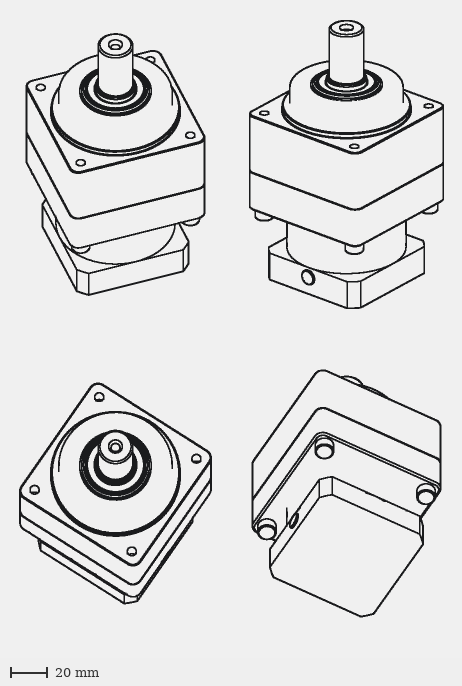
import cadquery as cq
import math

FLANGE_TOP = 16.2
HOUSING_BOTTOM = 42.4
HOUSING_SEAM = 65.5
HOUSING_TOP = 100.0
STEP_TOP = 103.0
PILOT_TOP = 115.5
SEAL_TOP = 117.0
COLLAR_TOP = 120.0
SHAFT_TOP = 150.0

FLANGE_WIDTH = 65.0
FLANGE_CORNER_DIAMETER = 85.0
ADAPTER_DIAMETER = 65.0
ADAPTER_ROOT_FILLET = 1.9

PLUG_DIAMETER = 8.5
PLUG_PROTRUSION = 1.0
PLUG_CHAMFER = 0.4
PLUG_Z = 10.3
PLUG_EMBED = 2.0

HOUSING_WIDTH = 78.0
HOUSING_CORNER_RADIUS = 5.0
HOUSING_TOP_CHAMFER = 0.5
HOUSING_BOTTOM_CHAMFER = 1.1
SEAM_CHAMFER = 0.25

BOLT_CIRCLE_DIAMETER = 90.0
SCREW_HEAD_DIAMETER = 10.0
SCREW_HEAD_HEIGHT = 6.0
SCREW_HEAD_CHAMFER = 0.6
MOUNT_HOLE_DIAMETER = 4.92
MOUNT_HOLE_DEPTH = 12.0

STEP_DIAMETER = 70.0
STEP_CHAMFER = 0.5
ROOT_CHAMFER = 0.4
PILOT_DIAMETER = 62.0
PILOT_FILLET = 2.0
RECESS_DIAMETER = 39.0
RECESS_DEPTH = 0.5
SEAL_DIAMETER = 37.0
SEAL_CHAMFER = 1.0
GROOVE_DIAMETER = 32.0
GROOVE_HALF_WIDTH = 0.6
SEAL_BORE_DIAMETER = 23.2
SEAL_BORE_DEPTH = 0.5
COLLAR_DIAMETER = 22.0
COLLAR_CHAMFER_HEIGHT = 0.8
COLLAR_CHAMFER_WIDTH = 0.5
SHAFT_DIAMETER = 19.0
SHAFT_CHAMFER = 1.0

CENTRE_HOLE_DIAMETER = 4.92
CENTRE_HOLE_DEPTH = 16.0
COUNTERSINK_DIAMETER = 7.5
COUNTERSINK_ANGLE = 60.0

DRILL_POINT_ANGLE = 118.0


def cylinder(diameter, bottom, top):
    """Solid cylinder on the part axis between two heights."""
    return cq.Workplane("XY").workplane(offset=bottom).circle(diameter / 2).extrude(top - bottom)


def revolved(profile):
    """Solid of revolution about Z from (radius, height) corner points."""
    return cq.Workplane("XZ").polyline(profile).close().revolve(360, (0, 0, 0), (0, 1, 0))


def root_cone(diameter, bottom):
    """Small conical foot around a cylinder of the given diameter."""
    radius = diameter / 2
    top = bottom + ROOT_CHAMFER
    return revolved([(0, bottom), (radius + ROOT_CHAMFER, bottom), (radius, top), (0, top)])


def drilled_hole(diameter, depth, top):
    """Blind hole cutter with a conical drill point, opening at height top."""
    radius = diameter / 2
    point_height = radius / math.tan(math.radians(DRILL_POINT_ANGLE / 2))
    floor = top - depth
    return revolved([(0, top), (radius, top), (radius, floor), (0, floor - point_height)])


def at_bolt_positions(body):
    """Copies of a body at the four diagonal points of the bolt circle."""
    offset = BOLT_CIRCLE_DIAMETER / 2 * math.sqrt(0.5)
    copies = cq.Workplane("XY")
    for x in (-offset, offset):
        for y in (-offset, offset):
            copies = copies.add(body.translate((x, y, 0)))
    return copies.combine()


def square_block(bottom, top):
    """Housing block with rounded vertical corners."""
    block = cq.Workplane("XY").workplane(offset=bottom).rect(HOUSING_WIDTH, HOUSING_WIDTH)
    return block.extrude(top - bottom).edges("|Z").fillet(HOUSING_CORNER_RADIUS)


def make_motor_adapter():
    """Square motor flange with round corners and a barrel that flares into the housing."""
    flange = cq.Workplane("XY").rect(FLANGE_WIDTH, FLANGE_WIDTH).extrude(FLANGE_TOP)
    flange = flange.intersect(cylinder(FLANGE_CORNER_DIAMETER, 0, FLANGE_TOP))
    radius = ADAPTER_DIAMETER / 2
    bend = ADAPTER_ROOT_FILLET * math.sqrt(0.5)
    root_centre = (radius + ADAPTER_ROOT_FILLET, HOUSING_BOTTOM - ADAPTER_ROOT_FILLET)
    barrel = (
        cq.Workplane("XZ")
        .moveTo(0, FLANGE_TOP)
        .lineTo(radius, FLANGE_TOP)
        .lineTo(radius, root_centre[1])
        .threePointArc((root_centre[0] - bend, root_centre[1] + bend), (root_centre[0], HOUSING_BOTTOM))
        .lineTo(0, HOUSING_BOTTOM)
        .close()
        .revolve(360, (0, 0, 0), (0, 1, 0))
    )
    return flange.union(barrel)


def make_plug():
    """Round plug standing out of the +Y face of the motor flange."""
    inner_face = FLANGE_WIDTH / 2 - PLUG_EMBED
    plug = cq.Workplane("XZ", origin=(0, inner_face, PLUG_Z)).circle(PLUG_DIAMETER / 2)
    plug = plug.extrude(-(PLUG_EMBED + PLUG_PROTRUSION))
    return plug.faces(">Y").chamfer(PLUG_CHAMFER)


def make_housing():
    """Two square blocks meeting at a fine V-shaped seam."""
    lower = square_block(HOUSING_BOTTOM, HOUSING_SEAM)
    lower = lower.faces("<Z").chamfer(HOUSING_BOTTOM_CHAMFER).faces(">Z").chamfer(SEAM_CHAMFER)
    upper = square_block(HOUSING_SEAM, HOUSING_TOP)
    upper = upper.faces("<Z").chamfer(SEAM_CHAMFER).faces(">Z").chamfer(HOUSING_TOP_CHAMFER)
    return lower.union(upper)


def make_screw_heads():
    """Cap screw heads under the housing."""
    head = cylinder(SCREW_HEAD_DIAMETER, HOUSING_BOTTOM - SCREW_HEAD_HEIGHT, HOUSING_BOTTOM)
    return at_bolt_positions(head.faces("<Z").chamfer(SCREW_HEAD_CHAMFER))


def make_pilot():
    """Stepped pilot with a filleted root, rounded rim and shallow face recess."""
    step = cylinder(STEP_DIAMETER, HOUSING_TOP, STEP_TOP).faces(">Z").chamfer(STEP_CHAMFER)
    step = step.union(root_cone(STEP_DIAMETER, HOUSING_TOP))
    radius = PILOT_DIAMETER / 2
    bend = PILOT_FILLET * math.sqrt(0.5)
    rim_centre = (radius - PILOT_FILLET, PILOT_TOP - PILOT_FILLET)
    root_centre = (radius + PILOT_FILLET, STEP_TOP + PILOT_FILLET)
    pilot = (
        cq.Workplane("XZ")
        .moveTo(0, STEP_TOP)
        .lineTo(root_centre[0], STEP_TOP)
        .threePointArc((root_centre[0] - bend, root_centre[1] - bend), (radius, root_centre[1]))
        .lineTo(radius, rim_centre[1])
        .threePointArc((rim_centre[0] + bend, rim_centre[1] + bend), (rim_centre[0], PILOT_TOP))
        .lineTo(0, PILOT_TOP)
        .close()
        .revolve(360, (0, 0, 0), (0, 1, 0))
    )
    recess = cylinder(RECESS_DIAMETER, PILOT_TOP - RECESS_DEPTH, PILOT_TOP)
    return step.union(pilot).cut(recess)


def make_seal():
    """Seal disc with a chamfered rim, a V-groove in its face and a shallow bore around the collar."""
    disc = cylinder(SEAL_DIAMETER, PILOT_TOP - RECESS_DEPTH, SEAL_TOP)
    disc = disc.faces(">Z").chamfer(SEAL_CHAMFER)
    middle = GROOVE_DIAMETER / 2
    groove = revolved([
        (middle - GROOVE_HALF_WIDTH, SEAL_TOP),
        (middle + GROOVE_HALF_WIDTH, SEAL_TOP),
        (middle, SEAL_TOP - GROOVE_HALF_WIDTH),
    ])
    bore = cylinder(SEAL_BORE_DIAMETER, SEAL_TOP - SEAL_BORE_DEPTH, SEAL_TOP)
    return disc.cut(groove).cut(bore)


def make_shaft():
    """Output shaft with its collar and countersunk centre hole."""
    collar_radius = COLLAR_DIAMETER / 2
    collar_bottom = SEAL_TOP - SEAL_BORE_DEPTH
    collar = revolved([
        (0, collar_bottom),
        (collar_radius, collar_bottom),
        (collar_radius, COLLAR_TOP - COLLAR_CHAMFER_HEIGHT),
        (collar_radius - COLLAR_CHAMFER_WIDTH, COLLAR_TOP),
        (0, COLLAR_TOP),
    ])
    shaft = cylinder(SHAFT_DIAMETER, COLLAR_TOP, SHAFT_TOP).faces(">Z").chamfer(SHAFT_CHAMFER)
    shaft = shaft.union(root_cone(SHAFT_DIAMETER, COLLAR_TOP))
    sink_radius = COUNTERSINK_DIAMETER / 2
    sink_depth = sink_radius / math.tan(math.radians(COUNTERSINK_ANGLE / 2))
    countersink = revolved([(0, SHAFT_TOP), (sink_radius, SHAFT_TOP), (0, SHAFT_TOP - sink_depth)])
    centre_hole = drilled_hole(CENTRE_HOLE_DIAMETER, CENTRE_HOLE_DEPTH, SHAFT_TOP)
    return collar.union(shaft).cut(centre_hole).cut(countersink)


mount_holes = at_bolt_positions(drilled_hole(MOUNT_HOLE_DIAMETER, MOUNT_HOLE_DEPTH, HOUSING_TOP))

result = (
    make_housing()
    .cut(mount_holes)
    .union(make_motor_adapter())
    .union(make_plug())
    .union(make_screw_heads())
    .union(make_pilot())
    .union(make_seal())
    .union(make_shaft())
)